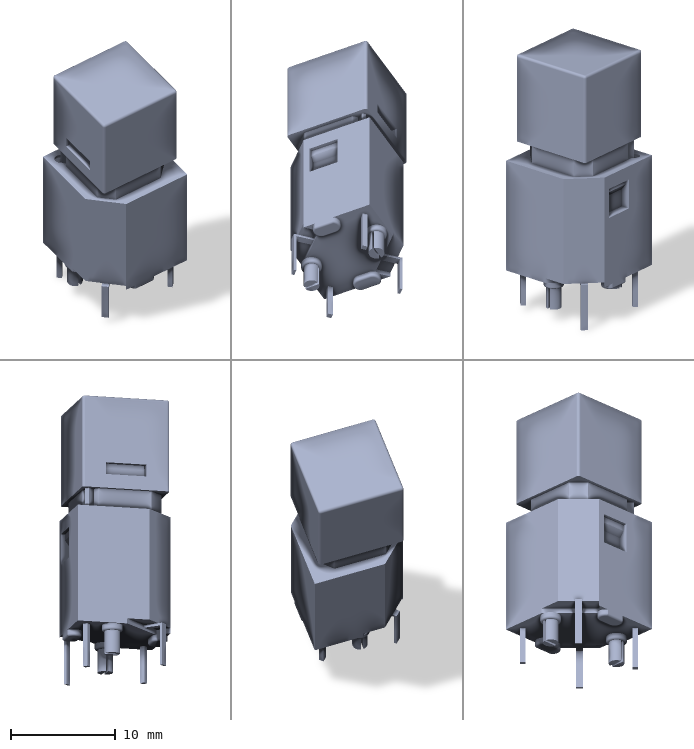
import cadquery as cq
import math

BODY_SIDE = 9.9
BODY_HEIGHT = 11.4
BODY_CHAMFER = 2.8
HALF = BODY_SIDE / 2

NECK_SIDE = 7.8
NECK_HEIGHT = 2.0
NECK_CHAMFER = 1.3
CAP_SIDE = 8.6
CAP_HEIGHT = 9.0
CAP_FILLET = 0.25
CAP_BOTTOM = BODY_HEIGHT + NECK_HEIGHT

LATCH_SLOT_WIDTH = 4.0
LATCH_SLOT_HEIGHT = 1.15
LATCH_SLOT_LIFT = 1.35
LATCH_SLOT_DEPTH = 1.0
LATCH_WIDTH = 3.8
LATCH_SETBACK = 0.4
LATCH_FACE_HEIGHT = 0.6
LATCH_SLOPE_RUN = 0.13

WINDOW_SIDE = 3.0
WINDOW_BOTTOM = 7.0
WINDOW_DEPTH = 0.85
LIP_DEPTH = 0.4
LIP_HEIGHT = 0.6
LIP_SLOPE_HEIGHT = 0.6

WELL_DEPTH = 0.3
WELL_FLOOR = BODY_HEIGHT - WELL_DEPTH
RELIEF_RADIUS = 0.5
RELIEF_CENTRE = 5.38
KEYWAY_WIDTH = 0.8
KEYWAY_INNER = 2.3
RIB_WIDTH = 0.43
RIB_OUTER = 5.25
RIB_ROOT_RADIUS = 0.4
KEYWAY_ANGLE = 225

TERMINAL_LENGTH = 4.2
SHORT_TERMINAL_LENGTH = 3.6
PIN_SIDE = 0.5
PIN_OFFSET = 3.8
BLADE_WIDTH = 0.7
BLADE_THICKNESS = 0.25
BLADE_OUTER = 5.45
NOTCH_HEIGHT = 0.5
NOTCH_INNER = 3.45

FOOT_HEIGHT = 0.6
FOOT_FILLET = 0.2
FOOT_LENGTH = 2.8
FOOT_WIDTH = 1.6
FOOT_OFFSET = 4.25
COLLAR_DIAMETER = 2.0
PEG_DIAMETER = 1.5
PEG_LENGTH = 2.8
PEG_OFFSET = 3.8
FRONT_PEG_X = -1.25
PEG_SLOT = 0.25


def diagonal_box(inner, outer, near_side, far_side, bottom, top, angle):
    """Box reaching from inner to outer along a direction turned by angle from +X."""
    box = cq.Workplane("XY").box(outer - inner, far_side - near_side, top - bottom, centered=False)
    box = box.translate((inner, near_side, bottom))
    return box.rotate((0, 0, 0), (0, 0, 1), angle)


def make_housing():
    """Square housing with two chamfered opposite corners and a window."""
    housing = cq.Workplane("XY").box(BODY_SIDE, BODY_SIDE, BODY_HEIGHT, centered=(True, True, False))
    housing = housing.edges(">(1, -1, 0) or <(1, -1, 0)").chamfer(BODY_CHAMFER)
    return housing.cut(make_window())


def make_window():
    """Window void whose ceiling comes down as a lip with a sloping underside."""
    lip_bottom = WINDOW_BOTTOM + WINDOW_SIDE - LIP_HEIGHT
    outline = [
        (-HALF, WINDOW_BOTTOM),
        (-HALF, WINDOW_BOTTOM + WINDOW_SIDE),
        (-HALF + LIP_DEPTH, WINDOW_BOTTOM + WINDOW_SIDE),
        (-HALF + LIP_DEPTH, lip_bottom),
        (-HALF + WINDOW_DEPTH, lip_bottom - LIP_SLOPE_HEIGHT),
        (-HALF + WINDOW_DEPTH, WINDOW_BOTTOM),
    ]
    return cq.Workplane("XZ").polyline(outline).close().extrude(WINDOW_SIDE / 2, both=True)


def make_well():
    """Recess in the housing top that the neck stands in.

    It follows the neck outline, except that the keyway corner stays square and has a round relief.
    """
    well = cq.Workplane("XY").rect(NECK_SIDE, NECK_SIDE).extrude(WELL_DEPTH)
    well = well.edges("|Z").edges(">X or >Y").chamfer(NECK_CHAMFER)
    relief = cq.Workplane("XY").center(RELIEF_CENTRE, 0).circle(RELIEF_RADIUS).extrude(WELL_DEPTH)
    relief = relief.union(
        diagonal_box(KEYWAY_INNER, RELIEF_CENTRE, -RELIEF_RADIUS, RELIEF_RADIUS, 0, WELL_DEPTH, 0)
    )
    relief = relief.rotate((0, 0, 0), (0, 0, 1), KEYWAY_ANGLE)
    return well.union(relief).translate((0, 0, WELL_FLOOR))


def make_neck():
    """Chamfered square neck with a keyway cut into one corner."""
    neck = cq.Workplane("XY").rect(NECK_SIDE, NECK_SIDE).extrude(CAP_BOTTOM - WELL_FLOOR)
    neck = neck.edges("|Z").chamfer(NECK_CHAMFER).translate((0, 0, WELL_FLOOR))
    half_width = KEYWAY_WIDTH / 2
    keyway = diagonal_box(
        KEYWAY_INNER, NECK_SIDE, -half_width, half_width, WELL_FLOOR, CAP_BOTTOM, KEYWAY_ANGLE
    )
    return neck.cut(keyway)


def make_cap():
    """Square cap with rounded upper edges and a latch slot."""
    cap = cq.Workplane("XY").box(CAP_SIDE, CAP_SIDE, CAP_HEIGHT, centered=(True, True, False))
    cap = cap.edges("|Z or >Z").fillet(CAP_FILLET).translate((0, 0, CAP_BOTTOM))
    return cap.cut(make_latch_slot()).union(make_latch())


def make_latch_slot():
    slot = cq.Workplane("XY").box(
        LATCH_SLOT_WIDTH, LATCH_SLOT_DEPTH, LATCH_SLOT_HEIGHT, centered=(True, False, False)
    )
    return slot.translate((0, -CAP_SIDE / 2, CAP_BOTTOM + LATCH_SLOT_LIFT))


def make_latch():
    """Latch inside the cap slot: an upright face below a steep slope."""
    face = -CAP_SIDE / 2 + LATCH_SETBACK
    back = -CAP_SIDE / 2 + LATCH_SLOT_DEPTH
    floor = CAP_BOTTOM + LATCH_SLOT_LIFT
    outline = [
        (face, floor),
        (face, floor + LATCH_FACE_HEIGHT),
        (face + LATCH_SLOPE_RUN, floor + LATCH_SLOT_HEIGHT),
        (back, floor + LATCH_SLOT_HEIGHT),
        (back, floor),
    ]
    return cq.Workplane("YZ").polyline(outline).close().extrude(LATCH_WIDTH / 2, both=True)


def make_keyway_rib():
    """Rib standing in the keyway, flared outward at its root by a concave round."""
    rib = (
        cq.Workplane("XZ")
        .moveTo(KEYWAY_INNER, WELL_FLOOR)
        .lineTo(RIB_OUTER + RIB_ROOT_RADIUS, WELL_FLOOR)
        .radiusArc((RIB_OUTER, WELL_FLOOR + RIB_ROOT_RADIUS), RIB_ROOT_RADIUS)
        .lineTo(RIB_OUTER, CAP_BOTTOM)
        .lineTo(KEYWAY_INNER, CAP_BOTTOM)
        .close()
        .extrude(RIB_WIDTH / 2, both=True)
    )
    return rib.rotate((0, 0, 0), (0, 0, 1), KEYWAY_ANGLE)


def make_notch(angle):
    """Recess under a chamfered corner, closed on the left of its direction and open on the right."""
    closed_side = BODY_CHAMFER / math.sqrt(2)
    return diagonal_box(NOTCH_INNER, BODY_SIDE, -BODY_SIDE, closed_side, 0, NOTCH_HEIGHT, angle)


def make_blade(angle, length):
    """Flat terminal that leaves the notch wall and bends straight down."""
    half_width = BLADE_WIDTH / 2
    arm_bottom = NOTCH_HEIGHT - BLADE_THICKNESS
    leg_inner = BLADE_OUTER - BLADE_THICKNESS
    arm = diagonal_box(NOTCH_INNER, BLADE_OUTER, -half_width, half_width, arm_bottom, NOTCH_HEIGHT, angle)
    leg = diagonal_box(leg_inner, BLADE_OUTER, -half_width, half_width, -length, NOTCH_HEIGHT, angle)
    return arm.union(leg)


def make_pin(side, length):
    """Square pin turned 45 degrees, under the corner at (side, side)."""
    pin = cq.Workplane("XY").rect(PIN_SIDE, PIN_SIDE).extrude(-length)
    pin = pin.rotate((0, 0, 0), (0, 0, 1), 45)
    return pin.translate((side * PIN_OFFSET, side * PIN_OFFSET, 0))


def make_foot(side):
    """Oblong foot on the -X or +X side, trimmed flush with the housing face."""
    foot = cq.Workplane("XY").center(side * FOOT_OFFSET, 0).slot2D(FOOT_LENGTH, FOOT_WIDTH, 90)
    foot = foot.extrude(-FOOT_HEIGHT)
    trim = cq.Workplane("XY").box(BODY_SIDE, BODY_SIDE, 2 * FOOT_HEIGHT)
    return foot.intersect(trim).faces("<Z").edges().fillet(FOOT_FILLET)


def make_peg(x, y, slot_angle):
    """Locating peg below a rounded collar, split by a slot turned by slot_angle from +X."""
    collar = cq.Workplane("XY").circle(COLLAR_DIAMETER / 2).extrude(-FOOT_HEIGHT)
    collar = collar.faces("<Z").edges().fillet(FOOT_FILLET)
    peg = cq.Workplane("XY").circle(PEG_DIAMETER / 2).extrude(-PEG_LENGTH)
    slot = cq.Workplane("XY", origin=(0, 0, -FOOT_HEIGHT)).rect(COLLAR_DIAMETER, PEG_SLOT)
    slot = slot.extrude(FOOT_HEIGHT - PEG_LENGTH)
    split_peg = collar.union(peg).cut(slot)
    return split_peg.rotate((0, 0, 0), (0, 0, 1), slot_angle).translate((x, y, 0))


result = make_housing().cut(make_well())
result = result.union(make_neck()).union(make_cap()).union(make_keyway_rib())

for angle, length in ((-45, SHORT_TERMINAL_LENGTH), (135, TERMINAL_LENGTH)):
    result = result.cut(make_notch(angle)).union(make_blade(angle, length))

for side, length in ((-1, TERMINAL_LENGTH), (1, SHORT_TERMINAL_LENGTH)):
    result = result.union(make_pin(side, length)).union(make_foot(side))

result = result.union(make_peg(FRONT_PEG_X, -PEG_OFFSET, 0))
result = result.union(make_peg(0, PEG_OFFSET, 90))